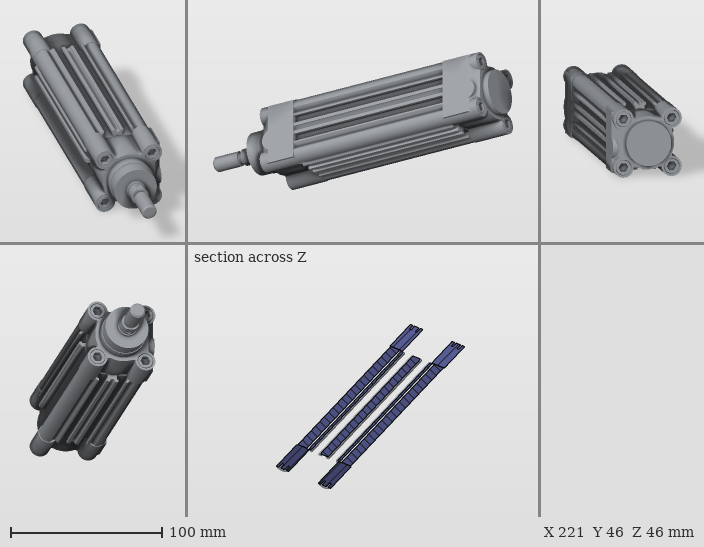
import cadquery as cq
import math


TOTAL_LENGTH = 221.0
REAR_COLLAR_LENGTH = 4.2
CAP_LENGTH = 26.0
BARREL_LENGTH = 116.5
FRONT_COLLAR_LENGTH = 6.6
NOSE_LENGTH = 9.0

REAR_CAP_START = REAR_COLLAR_LENGTH
BARREL_START = REAR_CAP_START + CAP_LENGTH
FRONT_CAP_START = BARREL_START + BARREL_LENGTH
FRONT_CAP_END = FRONT_CAP_START + CAP_LENGTH
NOSE_START = FRONT_CAP_END + FRONT_COLLAR_LENGTH
ROD_START = NOSE_START + NOSE_LENGTH

OUTER_WIDTH = 46.0
BOSS_SPACING = 32.5
BOSS_OFFSET = BOSS_SPACING / 2
BOSS_RADIUS = (OUTER_WIDTH - BOSS_SPACING) / 2
CAP_WEB_WIDTH = 32.7
CAP_BODY_RADIUS = 18.0
COLLAR_RADIUS = 15.0
NOSE_RADIUS = 14.5

BORE_RADIUS = 5.3
HEAD_RADIUS = 4.9
HEAD_GAP_DEPTH = 4.5
HEX_WIDTH = 6.0
HEX_DEPTH = 4.5
HEX_TIP_RADIUS = 2.5
HEX_TIP_DEPTH = 1.5

PAD_HEIGHT = 41.0
PAD_TOP = OUTER_WIDTH / 2
PAD_FOOT = 18.1
PAD_SLOPE_LENGTH = 6.6
PORT_BOSS_RADIUS = 7.5
PORT_BOSS_X = 9.3
PORT_BOSS_Z = -4.0

BARREL_HALF = 22.5
BARREL_CORNER_RADIUS = BARREL_HALF - BOSS_OFFSET
SLOT_FLOOR = 17.7
LIP_BOTTOM = 20.8
RIB_STEM_HALF = 3.0
RIB_HEAD_HALF = 4.0
SLOT_MOUTH = 9.3
SLOT_WALL = 10.2
RIB_GROOVE_RADIUS = 1.8
LIP_GROOVE_CENTRE = 12.8
LIP_GROOVE_HALF = 2.5
FRONT_SIDE_ANGLE = 90
RELIEF_RADIUS = 18.3
RELIEF_TOP = 0.7
RELIEF_BOTTOM = -8.2
RELIEF_SLOPE_END = -15.0
CUT_CLEARANCE = 2.2

SHOULDER_LENGTH = 2.2
SHOULDER_RADIUS = 6.5
ROD_RADIUS = 5.7
ROD_END = 198.7
FLAT_START = 192.7
FLAT_WIDTH = 10.4
NECK_RADIUS = 4.0
THREAD_START = 201.8
THREAD_RADIUS = 5.0
THREAD_CHAMFER = 1.0


def section_at(x):
    """Workplane across the cylinder: local x is Y, local y is Z, extrusion is +X."""
    return cq.Workplane("YZ", origin=(x, 0, 0))


def screw_head_cuts():
    """Ring gap around a screw head and its hexagonal socket with a conical bottom, cut in +X."""
    gap = section_at(0).circle(BORE_RADIUS).circle(HEAD_RADIUS).extrude(HEAD_GAP_DEPTH)
    corner_diameter = HEX_WIDTH / math.cos(math.pi / 6)
    socket = section_at(0).polygon(6, corner_diameter).extrude(HEX_DEPTH)
    tip = cq.Solid.makeCone(
        HEX_TIP_RADIUS, 0, HEX_TIP_DEPTH, pnt=cq.Vector(HEX_DEPTH, 0, 0), dir=cq.Vector(1, 0, 0)
    )
    return gap, socket.union(cq.Workplane(tip))


def port_pad():
    """Flat pad on the +Y side that rises from the outer face along a slope."""
    return (
        cq.Workplane("XY", origin=(0, 0, -PAD_HEIGHT / 2))
        .moveTo(0, CAP_WEB_WIDTH / 2)
        .lineTo(0, PAD_FOOT)
        .lineTo(PAD_SLOPE_LENGTH, PAD_TOP)
        .lineTo(CAP_LENGTH, PAD_TOP)
        .lineTo(CAP_LENGTH, CAP_WEB_WIDTH / 2)
        .close()
        .extrude(PAD_HEIGHT)
    )


def port_boss():
    """Round boss around the port, standing on the slope and level with the top of the pad."""
    return cq.Workplane(
        cq.Solid.makeCylinder(
            PORT_BOSS_RADIUS,
            PAD_TOP - CAP_WEB_WIDTH / 2,
            pnt=cq.Vector(PORT_BOSS_X, CAP_WEB_WIDTH / 2, PORT_BOSS_Z),
            dir=cq.Vector(0, 1, 0),
        )
    )


def cap_block():
    """Cap without collars, with its outer face at X = 0 and the barrel side at +X."""
    boss_places = [(y, z) for y in (-BOSS_OFFSET, BOSS_OFFSET) for z in (-BOSS_OFFSET, BOSS_OFFSET)]
    block = section_at(0).rect(CAP_WEB_WIDTH, CAP_WEB_WIDTH).extrude(CAP_LENGTH)
    block = block.union(section_at(0).circle(CAP_BODY_RADIUS).extrude(CAP_LENGTH))
    block = block.union(port_pad()).union(port_boss())
    block = block.union(section_at(0).pushPoints(boss_places).circle(BOSS_RADIUS).extrude(CAP_LENGTH))
    for y, z in boss_places:
        for cut in screw_head_cuts():
            block = block.cut(cut.translate((0, y, z)))
    return block


def make_rear_cap():
    collar = section_at(0).circle(COLLAR_RADIUS).extrude(REAR_COLLAR_LENGTH)
    return cap_block().translate((REAR_CAP_START, 0, 0)).union(collar)


def make_front_cap():
    collar = section_at(FRONT_CAP_END).circle(COLLAR_RADIUS).extrude(FRONT_COLLAR_LENGTH)
    nose = section_at(NOSE_START).circle(NOSE_RADIUS).extrude(NOSE_LENGTH)
    block = cap_block().mirror("YZ").translate((FRONT_CAP_END, 0, 0))
    return block.union(collar).union(nose)


def barrel_prism(points):
    """Cutting prism through the barrel from an outline in (Y, Z)."""
    return section_at(BARREL_START).polyline(points).close().extrude(BARREL_LENGTH)


def half_side_cuts(half):
    """Undercut slot and lip groove of one half (+1 or -1) of the top (+Z) side."""
    above = BARREL_HALF + CUT_CLEARANCE
    slot = [
        (RIB_STEM_HALF, SLOT_FLOOR),
        (RIB_STEM_HALF, LIP_BOTTOM),
        (RIB_HEAD_HALF, LIP_BOTTOM),
        (RIB_HEAD_HALF, above),
        (SLOT_MOUTH, above),
        (SLOT_MOUTH, LIP_BOTTOM),
        (SLOT_WALL, LIP_BOTTOM),
        (SLOT_WALL, SLOT_FLOOR),
    ]
    groove = [
        (LIP_GROOVE_CENTRE - LIP_GROOVE_HALF, BARREL_HALF),
        (LIP_GROOVE_CENTRE, BARREL_HALF - LIP_GROOVE_HALF),
        (LIP_GROOVE_CENTRE + LIP_GROOVE_HALF, BARREL_HALF),
    ]
    return [barrel_prism([(half * along, out) for along, out in outline]) for outline in (slot, groove)]


def rib_groove():
    """Half-round groove along the middle rib of the top (+Z) side."""
    groove = section_at(BARREL_START).center(0, BARREL_HALF).circle(RIB_GROOVE_RADIUS)
    return groove.extrude(BARREL_LENGTH)


def lower_front_relief():
    """Open relief on the lower half of the -Y side: a round floor and a slope out to the corner."""
    beyond = -BARREL_HALF - CUT_CLEARANCE

    def floor_y(z):
        return -math.sqrt(RELIEF_RADIUS**2 - z**2)

    middle_z = (RELIEF_TOP + RELIEF_BOTTOM) / 2
    return (
        section_at(BARREL_START)
        .moveTo(beyond, RELIEF_TOP)
        .lineTo(floor_y(RELIEF_TOP), RELIEF_TOP)
        .threePointArc((floor_y(middle_z), middle_z), (floor_y(RELIEF_BOTTOM), RELIEF_BOTTOM))
        .lineTo(-BARREL_HALF, RELIEF_SLOPE_END)
        .lineTo(beyond, RELIEF_SLOPE_END)
        .close()
        .extrude(BARREL_LENGTH)
    )


def make_barrel():
    barrel = section_at(BARREL_START).rect(2 * BARREL_HALF, 2 * BARREL_HALF).extrude(BARREL_LENGTH)
    barrel = barrel.edges("|X").fillet(BARREL_CORNER_RADIUS)
    for angle in (0, FRONT_SIDE_ANGLE, 180, 270):
        cuts = [rib_groove()] + half_side_cuts(1)
        if angle != FRONT_SIDE_ANGLE:
            cuts += half_side_cuts(-1)
        for cut in cuts:
            barrel = barrel.cut(cut.rotate((0, 0, 0), (1, 0, 0), angle))
    return barrel.cut(lower_front_relief())


def make_rod():
    shoulder_end = ROD_START + SHOULDER_LENGTH
    shoulder = section_at(ROD_START).circle(SHOULDER_RADIUS).extrude(SHOULDER_LENGTH)
    shank = section_at(shoulder_end).circle(ROD_RADIUS).extrude(ROD_END - shoulder_end)
    flat_length = ROD_END - FLAT_START
    flats = section_at(FLAT_START).rect(2 * ROD_RADIUS, FLAT_WIDTH).extrude(flat_length)
    waste = section_at(FLAT_START).circle(SHOULDER_RADIUS).extrude(flat_length).cut(flats)
    neck = section_at(ROD_END).circle(NECK_RADIUS).extrude(THREAD_START - ROD_END)
    thread = section_at(THREAD_START).circle(THREAD_RADIUS).extrude(TOTAL_LENGTH - THREAD_START)
    thread = thread.faces(">X").chamfer(THREAD_CHAMFER)
    return shoulder.union(shank.cut(waste)).union(neck).union(thread)


rear_cap = make_rear_cap()
barrel = make_barrel()
front_cap = make_front_cap()
rod = make_rod()

result = cq.Compound.makeCompound([rear_cap.val(), barrel.val(), front_cap.val(), rod.val()])